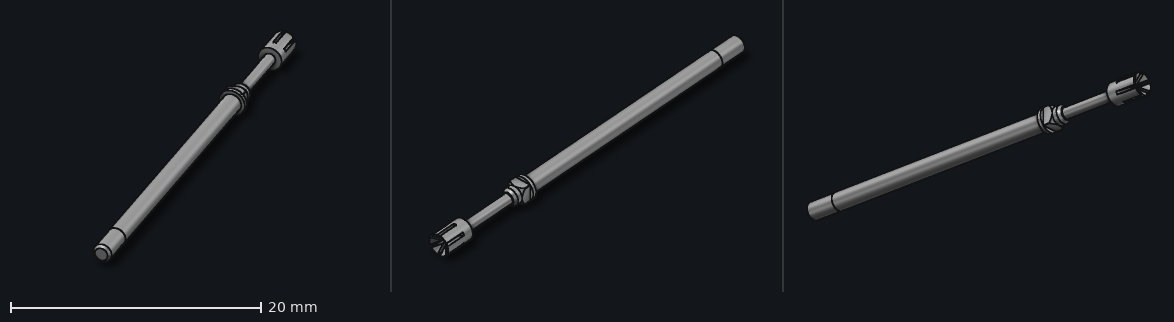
import cadquery as cq

total_length = 35.8

barrel_diameter = 1.65
tail_length = 2.95
tail_diameter = 1.6
tail_chamfer = 0.25

flange_diameter = 2.3
flange_start = 25.45
flange_thickness = 0.35
square_width = barrel_diameter
square_corner_diameter = flange_diameter
square_length = 0.95
square_lead_in = 0.32

mouth_length = 0.8
mouth_chamfer = 0.32
mouth_end_diameter = 1.2

stem_diameter = 1.0
head_diameter = 2.08
head_length = 2.95
slot_width = 0.27
slot_depth = 1.97
slot_pair_count = 3
cup_rim_diameter = 1.95
cup_depth = cup_rim_diameter / 2

square_start = flange_start + flange_thickness
square_end = square_start + square_length
mouth_end = square_end + mouth_length
head_start = total_length - head_length
overlap = 0.18


def cylinder(diameter, start, end):
    """Cylinder on the Y axis between two Y positions."""
    profile = cq.Workplane("XZ", origin=(0, start, 0)).circle(diameter / 2)
    return profile.extrude(start - end)


def make_barrel():
    """Chamfered tail plug, tube, flange and tapered mouth."""
    tail = cylinder(tail_diameter, 0, tail_length + overlap).faces("<Y").chamfer(tail_chamfer)
    tube = cylinder(barrel_diameter, tail_length, mouth_end)
    mouth_inset = (barrel_diameter - mouth_end_diameter) / 2
    tube = tube.faces(">Y").edges().chamfer(mouth_chamfer, mouth_inset)
    flange = cylinder(flange_diameter, flange_start, square_start)
    return tube.union(tail).union(flange)


def make_square():
    """Square section with turned corners and a conical lead-in towards the mouth."""
    block = (
        cq.Workplane("XZ", origin=(0, square_start, 0))
        .rect(square_width, square_width)
        .extrude(-square_length)
    )
    corner_growth = (square_corner_diameter - barrel_diameter) / 2
    blank = cylinder(square_corner_diameter, square_start, square_end)
    blank = blank.faces(">Y").edges().chamfer(square_lead_in, corner_growth)
    return block.intersect(blank)


def make_plunger():
    """Stem and head, with a conical cup in its end and slots right across it at equal angles."""
    stem = cylinder(stem_diameter, mouth_end - overlap, head_start + overlap)
    head = cylinder(head_diameter, head_start, total_length)
    slot = cq.Workplane("XY").box(slot_width, slot_depth, 2 * head_diameter)
    slot = slot.translate((0, total_length - slot_depth / 2, 0))
    for index in range(slot_pair_count):
        angle = index * 180 / slot_pair_count
        head = head.cut(slot.rotate((0, 0, 0), (0, 1, 0), angle))
    cup = cq.Solid.makeCone(
        cup_rim_diameter / 2, 0, cup_depth, pnt=cq.Vector(0, total_length, 0), dir=cq.Vector(0, -1, 0)
    )
    return stem.union(head.cut(cq.Workplane(cup)))


result = make_barrel().union(make_square()).union(make_plunger())